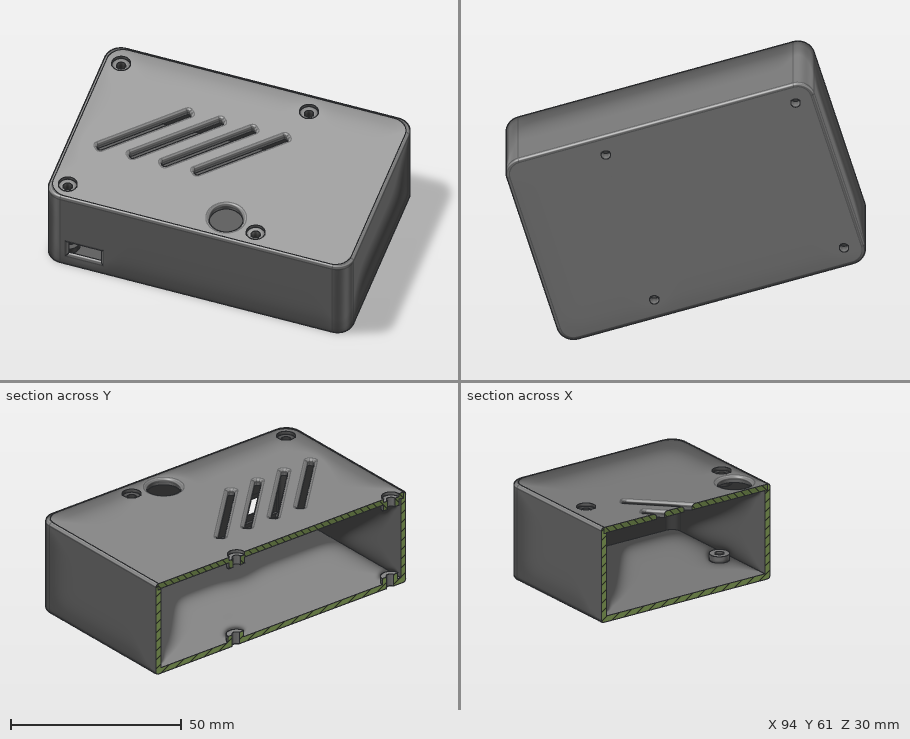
import cadquery as cq
length = 94.0
width = 61.0
height = 30.0
corner_radius = 5.0
wall = 2.0
edge_round = wall / 2

lid_thickness = wall
lid_bottom = height - lid_thickness
lid_inset = edge_round

screw_spacing_x = 58.0
screw_spacing_y = 49.0
standoff_inset = (width - screw_spacing_y) / 2
lid_hole_inset = 5.5
screw_hole_diameter = 2.7
screw_head_diameter = 5.5
screw_head_depth = 1.0
boss_diameter = 6.0
boss_height = 2.0
boss_bottom = lid_bottom - boss_height
standoff_diameter = 6.0
standoff_height = 2.0
standoff_top = wall + standoff_height

slot_count = 4
slot_pitch = 10.0
slot_length = 30.1
slot_width = 2.0
slot_corner_radius = slot_width / 4
slot_angle = 45
first_slot_x = -27.0
slot_y = 2.1

button_diameter = 10.0
button_x = 6.6
button_y = -22.4

window_length = 10.0
window_height = 5.0
window_x = -34.5
window_z = 7.6
pocket_margin = wall


def block(inset, radius, bottom, top):
    """Block with rounded upright edges, its sides inside the outer faces by the inset."""
    return (
        cq.Workplane("XY", origin=(0, 0, bottom))
        .rect(length - 2 * inset, width - 2 * inset)
        .extrude(top - bottom)
        .edges("|Z")
        .fillet(radius)
    )


def screw_cylinders(inset, diameter, bottom, top):
    """Four upright cylinders on the screw pattern."""
    center_x = -length / 2 + inset + screw_spacing_x / 2
    center_y = -width / 2 + inset + screw_spacing_y / 2
    return (
        cq.Workplane("XY", origin=(center_x, center_y, bottom))
        .rect(screw_spacing_x, screw_spacing_y, forConstruction=True)
        .vertices()
        .circle(diameter / 2)
        .extrude(top - bottom)
    )


def window_block(margin, start_depth, end_depth):
    """Block in line with the cable window, between two depths behind the front face."""
    return (
        cq.Workplane("XZ", origin=(window_x, start_depth - width / 2, window_z))
        .rect(window_length + 2 * margin, window_height + 2 * margin)
        .extrude(start_depth - end_depth)
    )


def cut_window(base):
    """Cut the cable window, round its mouth and thin the wall behind it."""
    base = base.cut(window_block(0, 0, wall))
    mouth = cq.selectors.BoxSelector(
        (window_x - window_length, -width / 2 - edge_round / 2, window_z - window_height),
        (window_x + window_length, -width / 2 + edge_round / 2, window_z + window_height),
    )
    base = base.edges(mouth).fillet(edge_round)
    return base.cut(window_block(pocket_margin, edge_round, wall))


def make_base():
    base = block(0, corner_radius, 0, height).faces("<Z or >Z").edges().fillet(edge_round)

    base = base.cut(block(wall, corner_radius - wall, wall, height))
    base = base.cut(block(lid_inset, corner_radius, lid_bottom, height))
    base = cut_window(base)

    base = base.union(screw_cylinders(standoff_inset, standoff_diameter, edge_round, standoff_top))
    return base.cut(screw_cylinders(standoff_inset, screw_hole_diameter, 0, standoff_top))


def vent_slots():
    slots = cq.Workplane("XY")
    for index in range(slot_count):
        slot = (
            cq.Workplane("XY")
            .rect(slot_length, slot_width)
            .extrude(lid_thickness)
            .edges("|Z")
            .fillet(slot_corner_radius)
            .rotate((0, 0, 0), (0, 0, 1), slot_angle)
            .translate((first_slot_x + index * slot_pitch, slot_y, lid_bottom))
        )
        slots = slots.add(slot)
    return slots.combine()


def make_lid():
    lid = block(lid_inset, corner_radius, lid_bottom, height)
    button_hole = (
        cq.Workplane("XY", origin=(button_x, button_y, lid_bottom))
        .circle(button_diameter / 2)
        .extrude(lid_thickness)
    )
    lid = lid.cut(vent_slots()).cut(button_hole)

    top_face = lid.faces(">Z").val()
    opening_edges = [edge for wire in top_face.innerWires() for edge in wire.Edges()]
    lid = lid.newObject(opening_edges).fillet(edge_round)

    lid = lid.union(screw_cylinders(lid_hole_inset, boss_diameter, boss_bottom, height - edge_round))
    head_seat = height - screw_head_depth
    lid = lid.cut(screw_cylinders(lid_hole_inset, screw_head_diameter, head_seat, height))
    return lid.cut(screw_cylinders(lid_hole_inset, screw_hole_diameter, boss_bottom, height))


base = make_base()
lid = make_lid()
result = cq.Compound.makeCompound([base.val(), lid.val()])